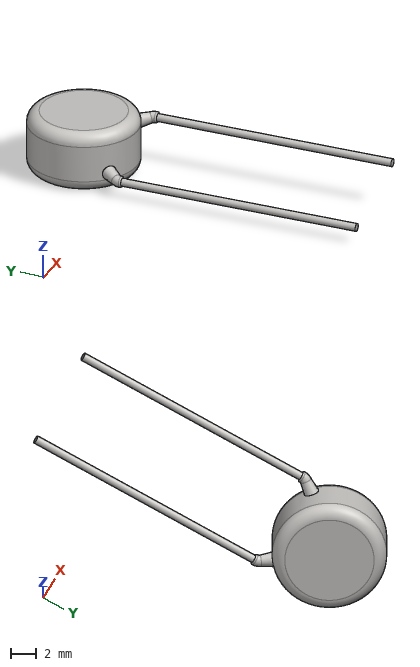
import cadquery as cq
import math


disc_diameter = 9.0
disc_height = 5.0
disc_edge_radius = 1.0

overall_length = 29.3
lead_diameter = 0.65
lead_offset_x = 3.55
lead_offset_z = 1.2
lead_end_y = disc_diameter / 2 - overall_length

collar_diameter = 0.9
collar_end_y = -4.8
collar_rounding = (collar_diameter - lead_diameter) / 2
collar_start_y = collar_end_y + collar_rounding
elbow_bend_radius = 0.73
elbow_angle = 35.0
taper_base_diameter = 1.35
taper_length = 1.6

lead_radial_offset = math.hypot(lead_offset_x, lead_offset_z)
lead_tilt = math.degrees(math.atan2(lead_offset_z, lead_offset_x))
lead_turns = [-lead_tilt, 180 - lead_tilt]


def turn_about_y(body, angle):
    return body.rotate((0, 0, 0), (0, 1, 0), angle)


def make_disc():
    disc = cq.Workplane("XY").cylinder(disc_height, disc_diameter / 2)
    return disc.faces("|Z").edges().fillet(disc_edge_radius)


def make_collar():
    return (
        cq.Workplane("XY", origin=(lead_radial_offset, 0, 0))
        .moveTo(0, collar_start_y)
        .lineTo(collar_diameter / 2, collar_start_y)
        .radiusArc((lead_diameter / 2, collar_end_y), collar_rounding)
        .lineTo(0, collar_end_y)
        .close()
        .revolve(360, (0, 0), (0, 1))
    )


def make_elbow():
    return (
        cq.Workplane("XZ", origin=(lead_radial_offset, collar_start_y, 0))
        .circle(collar_diameter / 2)
        .revolve(elbow_angle, (-elbow_bend_radius, 0), (-elbow_bend_radius, 1))
    )


def make_taper():
    bend = math.radians(elbow_angle)
    tip_x = lead_radial_offset - elbow_bend_radius * (1 - math.cos(bend))
    tip_y = collar_start_y + elbow_bend_radius * math.sin(bend)
    inward = cq.Vector(-math.sin(bend), math.cos(bend), 0)
    cone = cq.Solid.makeCone(
        collar_diameter / 2,
        taper_base_diameter / 2,
        taper_length,
        pnt=cq.Vector(tip_x, tip_y, 0),
        dir=inward,
    )
    return cq.Workplane(cone)


def make_lead_coating():
    return make_collar().union(make_elbow()).union(make_taper())


def make_housing():
    housing = make_disc()
    for turn in lead_turns:
        housing = housing.union(turn_about_y(make_lead_coating(), turn))
    return housing.solids()


def make_lead():
    return (
        cq.Workplane("XZ", origin=(lead_radial_offset, collar_end_y, 0))
        .circle(lead_diameter / 2)
        .extrude(collar_end_y - lead_end_y)
    )


housing = make_housing()
leads = [turn_about_y(make_lead(), turn).val() for turn in lead_turns]

result = cq.Compound.makeCompound([housing.val(), *leads])